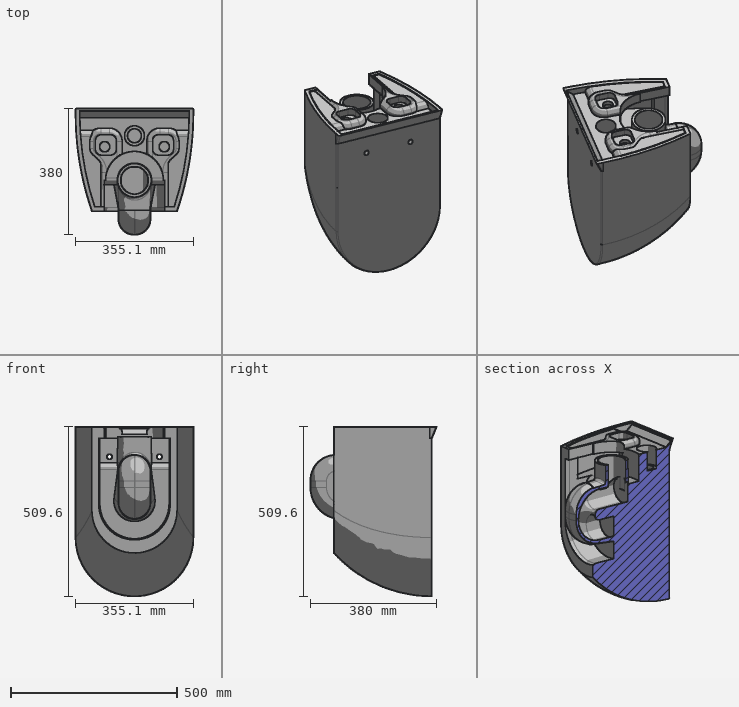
import cadquery as cq
import math


back_half_width = 177.55
front_half_width = 128.0
total_height = 509.6
front_bottom = 379.0
front_y = -295.0
loft_sections = 6
lip_overhang = 14.0
lip_height = 34.0
lip_root = 6.0
back_edge_round = 4.0

rim_width = 13.0
recess_depth = 21.5
recess_front_y = -282.0
recess_back_y = 7.5
recess_slope_foot_y = -14.0
lip_step_run = 1.5
lip_step_height = 5.0
side_deck_z = -3.0
side_deck_back_y = -51.0
side_deck_round = 18.0

plateau_round = 16.5
plateau_inner_x = 37.0
plateau_outer_x = 141.0
plateau_neck_x = 101.0
plateau_back_y = -45.0
plateau_corner = 39.0
well_center = (86.0, -95.5)
well_size = (63.0, 61.0)
well_corner = 17.0
well_depth = 21.5
bolt_hole_center = (89.5, -101.0)
bolt_hole_radius = 15.5

inlet_y = -68.0
inlet_radius = 30.0
inlet_depth = 60.0
inlet_bore_radius = 21.0
inlet_bore_depth = 40.0

opening_radius = 87.0
opening_half_width = 91.0
deck_underside_z = -34.5
cavity_half_width = 104.0
cavity_bottom = 336.0
cavity_wall_y = -215.0
mouth_flare = 3.5
mouth_depth = 12.0
ledge_z = -107.0
ledge_round = 20.0

niche_inner_x = 43.5
niche_wall = 14.0
niche_back_y = -45.0
niche_front_y = -250.0
wall_bolt_x = 75.0
wall_bolt_z = -89.5
wall_bolt_radius = 7.5

pipe_y = -202.0
pipe_top_z = -30.0
pipe_radius = 50.5
pipe_foot_radius = 52.0
pipe_foot_round = 8.0
pipe_bore_radius = 41.5
leg_radius = 47.5
leg_bore_radius = 40.0
flare_radius = 62.0
flare_z = -222.0
bend_y = -268.5
bend_z = -181.0
bend_radius = 49.0
upper_leg_z = bend_z + bend_radius
lower_leg_z = bend_z - bend_radius
dome_half_width = 48.5
dome_upper_round = 78.0
dome_flat_half_width = 0.5
dome_back_y = -292.0


def arc_drop(y, total_drop):
    """Distance an arc, square to the back wall, has fallen at depth y."""
    radius = (front_y**2 + total_drop**2) / (2 * total_drop)
    return radius - math.sqrt(radius**2 - y**2)


def half_width(y):
    return back_half_width - arc_drop(y, back_half_width - front_half_width)


def bottom_depth(y):
    return total_height - arc_drop(y, total_height - front_bottom)


def u_wire(sketch, width, top_z, depth):
    """U outline: flat top, straight sides and a half-round bottom."""
    center_z = width - depth
    return (
        sketch.moveTo(-width, top_z)
        .lineTo(-width, center_z)
        .threePointArc((0, -depth), (width, center_z))
        .lineTo(width, top_z)
        .close()
    )


def xz_plane(y):
    return cq.Workplane("XZ", origin=(0, y, 0))


def block(x_range, y_range, z_range):
    size = [high - low for low, high in (x_range, y_range, z_range)]
    corner = (x_range[0], y_range[0], z_range[0])
    return cq.Workplane("XY").box(*size, centered=False).translate(corner)


def cylinder(x, y, top_z, bottom_z, radius):
    base = cq.Workplane("XY", origin=(x, y, bottom_z))
    return base.circle(radius).extrude(top_z - bottom_z)


def y_cylinder(x, z, back_y, end_y, radius):
    return xz_plane(back_y).center(x, z).circle(radius).extrude(back_y - end_y)


def both_sides(solid):
    return solid.union(solid.mirror("YZ"))


def inset_plan(inset, end_y, top_z, bottom_z):
    """Prism that follows the curved sides of the shell, moved inwards."""
    middle_y = end_y / 2
    back_x = back_half_width - inset
    middle_x = half_width(middle_y) - inset
    end_x = half_width(end_y) - inset
    return (
        cq.Workplane("XY", origin=(0, 0, bottom_z))
        .moveTo(-back_x, recess_back_y)
        .lineTo(-back_x, 0)
        .threePointArc((-middle_x, middle_y), (-end_x, end_y))
        .lineTo(end_x, end_y)
        .threePointArc((middle_x, middle_y), (back_x, 0))
        .lineTo(back_x, recess_back_y)
        .close()
        .extrude(top_z - bottom_z)
    )


def make_shell():
    spacing = front_y / (loft_sections - 1)
    sections = cq.Workplane("XZ")
    for index in range(loft_sections):
        y = index * spacing
        step = -spacing if index else 0
        sections = u_wire(sections.workplane(offset=step), half_width(y), 0, bottom_depth(y))
    shell = sections.loft(combine=True)
    lip = (
        cq.Workplane("YZ")
        .polyline([(-lip_root, 0), (lip_overhang, 0), (0, -lip_height), (-lip_root, -lip_height)])
        .close()
        .extrude(back_half_width, both=True)
    )
    slanted_ends = lip.edges("not (|X or |Y or |Z)")
    lip = slanted_ends.fillet(back_edge_round)
    return shell.faces(">Y").edges("not >Z").fillet(back_edge_round).union(lip)


def make_recess():
    plan = inset_plan(rim_width, recess_front_y, 0, -recess_depth)
    profile = (
        cq.Workplane("YZ")
        .polyline([
            (front_y, 0),
            (recess_back_y, 0),
            (recess_back_y - lip_step_run, -lip_step_height),
            (recess_slope_foot_y, -recess_depth),
            (front_y, -recess_depth),
        ])
        .close()
        .extrude(back_half_width, both=True)
    )
    return plan.intersect(profile)


def make_side_decks():
    deck = block(
        (plateau_neck_x, back_half_width),
        (recess_front_y, side_deck_back_y),
        (-recess_depth, side_deck_z),
    )
    deck = deck.edges(">Y and >Z").fillet(side_deck_round)
    inside = inset_plan(rim_width, recess_front_y, 0, -recess_depth)
    return both_sides(deck.intersect(inside))


def make_plateaus():
    corner_y = plateau_back_y - plateau_corner
    inner_arc_x = plateau_inner_x + plateau_corner
    outer_arc_x = plateau_outer_x - plateau_corner
    arc_middle = plateau_corner * math.sqrt(0.5)
    shoulder_y = -106.0
    slant_point = (125.0, -134.0)
    neck_y = -178.0
    foot_x = 104.0
    plateau = (
        cq.Workplane("XY", origin=(0, 0, -recess_depth))
        .moveTo(plateau_inner_x, pipe_y)
        .lineTo(plateau_inner_x, corner_y)
        .threePointArc((inner_arc_x - arc_middle, corner_y + arc_middle), (inner_arc_x, plateau_back_y))
        .lineTo(outer_arc_x, plateau_back_y)
        .threePointArc((outer_arc_x + arc_middle, corner_y + arc_middle), (plateau_outer_x, corner_y))
        .lineTo(plateau_outer_x, shoulder_y)
        .spline([slant_point, (plateau_neck_x, neck_y)], tangents=[(0, -1), (0, -1)], includeCurrent=True)
        .lineTo(foot_x, recess_front_y)
        .lineTo(plateau_inner_x, recess_front_y)
        .close()
        .extrude(recess_depth)
    )
    plateau = plateau.faces(">Z").edges("not <Y").fillet(plateau_round)
    return both_sides(plateau)


def make_wells():
    well = (
        cq.Workplane("XY", origin=(*well_center, -well_depth))
        .rect(*well_size)
        .extrude(well_depth)
        .edges("|Z")
        .fillet(well_corner)
    )
    bolt_hole = cylinder(*bolt_hole_center, -well_depth, deck_underside_z, bolt_hole_radius)
    return both_sides(well.union(bolt_hole))


def make_inlet():
    step_z = -recess_depth - inlet_depth
    mouth = cylinder(0, inlet_y, 0, step_z, inlet_radius)
    bore = cylinder(0, inlet_y, step_z, step_z - inlet_bore_depth, inlet_bore_radius)
    return mouth.union(bore)


def make_cavity():
    length = cavity_wall_y - front_y
    cavity = u_wire(
        xz_plane(cavity_wall_y), cavity_half_width, deck_underside_z, cavity_bottom
    ).extrude(length)
    mouth = u_wire(
        xz_plane(front_y + mouth_depth), cavity_half_width, deck_underside_z, cavity_bottom
    )
    mouth = u_wire(
        mouth.workplane(offset=mouth_depth),
        cavity_half_width + mouth_flare,
        deck_underside_z,
        cavity_bottom + mouth_flare,
    ).loft(ruled=True)
    return cavity.union(mouth)


def make_top_opening():
    arc = cylinder(0, pipe_y, 0, ledge_z, opening_radius)
    slot = block((-opening_half_width, opening_half_width), (front_y, pipe_y), (deck_underside_z, 0))
    return arc.union(slot)


def make_ledge_rounding():
    """Material to remove so the ledge rolls over into the cavity wall."""
    corner = block(
        (-cavity_half_width, cavity_half_width),
        (cavity_wall_y, cavity_wall_y + ledge_round),
        (ledge_z - ledge_round, ledge_z),
    )
    roll = (
        cq.Workplane("YZ")
        .center(cavity_wall_y + ledge_round, ledge_z - ledge_round)
        .circle(ledge_round)
        .extrude(back_half_width, both=True)
    )
    return corner.cut(roll)


def make_niches():
    plan = inset_plan(niche_wall, niche_front_y, deck_underside_z, ledge_z)
    right_half = block(
        (niche_inner_x, back_half_width), (niche_front_y, niche_back_y), (ledge_z, deck_underside_z)
    )
    bolt_hole = y_cylinder(wall_bolt_x, wall_bolt_z, lip_overhang, niche_back_y, wall_bolt_radius)
    return both_sides(plan.intersect(right_half).union(bolt_hole))


def make_dome():
    """Solid dome that caps both legs of the trap, with a full-round edge."""
    top_z = upper_leg_z + dome_half_width
    bottom_z = lower_leg_z - dome_half_width
    lower_round = bend_z - bottom_z
    tip_y = bend_y - lower_round
    upper_y = tip_y + dome_upper_round
    upper_z = top_z - dome_upper_round
    diagonal = math.sqrt(0.5)
    dome = (
        cq.Workplane("YZ", origin=(-dome_half_width, 0, 0))
        .moveTo(bend_y, top_z)
        .lineTo(upper_y, top_z)
        .threePointArc(
            (upper_y - dome_upper_round * diagonal, upper_z + dome_upper_round * diagonal), (tip_y, upper_z)
        )
        .lineTo(tip_y, bend_z)
        .threePointArc((bend_y - lower_round * diagonal, bend_z - lower_round * diagonal), (bend_y, bottom_z))
        .close()
        .extrude(2 * dome_half_width)
    )
    side_edges = dome.faces("<X or >X").edges("not >Y")
    dome = side_edges.fillet(dome_half_width - dome_flat_half_width)
    front_part = block(
        (-dome_half_width, dome_half_width), (tip_y, dome_back_y), (bottom_z, top_z)
    )
    return dome.intersect(front_part)


def teardrop(sketch, top_z, top_radius, bottom_z, bottom_radius):
    """Two stacked circles joined by their common tangents."""
    sine = (bottom_radius - top_radius) / (top_z - bottom_z)
    cosine = math.sqrt(1 - sine**2)
    top_x = top_radius * cosine
    top_tangent_z = top_z + top_radius * sine
    bottom_x = bottom_radius * cosine
    bottom_tangent_z = bottom_z + bottom_radius * sine
    return (
        sketch.moveTo(-top_x, top_tangent_z)
        .threePointArc((0, top_z + top_radius), (top_x, top_tangent_z))
        .lineTo(bottom_x, bottom_tangent_z)
        .threePointArc((0, bottom_z - bottom_radius), (-bottom_x, bottom_tangent_z))
        .close()
    )


def make_legs():
    """Both legs of the trap and the web between them, flaring into the cavity wall."""
    root = teardrop(
        xz_plane(cavity_wall_y), upper_leg_z, pipe_radius, flare_z, flare_radius
    )
    return teardrop(
        root.workplane(offset=cavity_wall_y - dome_back_y),
        upper_leg_z,
        leg_radius,
        lower_leg_z,
        leg_radius,
    ).loft(ruled=True)


def make_pipe():
    height = pipe_top_z - upper_leg_z
    foot = cq.Workplane("XY", origin=(0, pipe_y, upper_leg_z))
    pipe = foot.circle(pipe_foot_radius).workplane(offset=height).circle(pipe_radius).loft(ruled=True)
    return pipe.union(foot.sphere(pipe_foot_radius))


def make_outer_trap():
    """Pipe and legs, with a rounded seam where the pipe meets the upper leg, and the dome."""
    trap = make_pipe().union(make_legs())
    seam = cq.selectors.BoxSelector(
        (-leg_radius, dome_back_y, upper_leg_z), (leg_radius, cavity_wall_y, pipe_top_z)
    )
    trap = trap.edges("not %CIRCLE").edges(seam).fillet(pipe_foot_round)
    return trap.union(make_dome())


def make_passage():
    """Water way down the pipe, along the upper leg, round the bend and into the lower leg."""
    pipe_bore = cylinder(0, pipe_y, pipe_top_z, upper_leg_z, pipe_bore_radius)
    upper_bore = y_cylinder(0, upper_leg_z, pipe_y + leg_bore_radius, bend_y, leg_bore_radius)
    lower_bore = y_cylinder(0, lower_leg_z, cavity_wall_y, bend_y, leg_bore_radius)
    bend_bore = (
        xz_plane(bend_y)
        .center(0, upper_leg_z)
        .circle(leg_bore_radius)
        .revolve(180, (-1, -bend_radius), (1, -bend_radius))
    )
    return pipe_bore.union(upper_bore).union(lower_bore).union(bend_bore)


body = make_shell().cut(make_recess())
body = body.union(make_side_decks()).union(make_plateaus())
body = body.cut(make_wells()).cut(make_inlet())
body = body.cut(make_cavity()).cut(make_top_opening())
body = body.cut(make_niches()).cut(make_ledge_rounding())
body = body.union(make_outer_trap())
result = body.cut(make_passage())